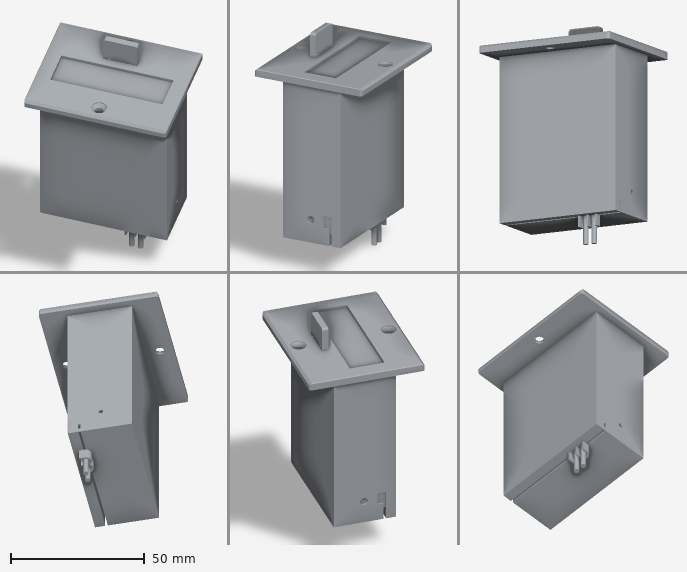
import cadquery as cq

CASE_X = 49.8
CASE_Y = 24.5
CASE_Z = 63.4

PLATE_X = 55.85
PLATE_Y = 45.7
PLATE_Z = 2.95
PLATE_TOP = CASE_Z + PLATE_Z
PLATE_CORNER_RADIUS = 1.0
LONG_EDGE_CHAMFER = 0.95
SHORT_EDGE_CHAMFER = 0.3

MOUNT_HOLE_DIAMETER = 3.4
MOUNT_SINK_DIAMETER = 5.9
MOUNT_RIM_DEPTH = 0.35
MOUNT_HOLE_Y = 17.75
SINK_ANGLE = 90
MOUNT_HOLES_XY = [(0, MOUNT_HOLE_Y), (0, -MOUNT_HOLE_Y)]

WINDOW_X = 44.0
WINDOW_Y = 13.7
WINDOW_CENTRE_Y = -1.9
WINDOW_DEPTH = 1.3

OVERALL_Z = 86.6
WIRE_END_Z = -10.7

KEY_X = 13.3
KEY_Y = 2.4
KEY_CENTRE_Y = 9.4
KEY_TOP = OVERALL_Z + WIRE_END_Z
KEY_BOTTOM = CASE_Z
KEY_CORNER_RADIUS = 1.0
KEY_SLOT_CLEARANCE = 0.1
KEY_HOLE_DIAMETER = 1.2
KEY_HOLE_X = 4.1
KEY_LEFT_HOLE_Z = 67.1
KEY_HOLES_XZ = [(-KEY_HOLE_X, KEY_LEFT_HOLE_Z), (KEY_HOLE_X, PLATE_TOP)]

SIDE_HOLE_DIAMETER = 1.8
SIDE_BORE_DIAMETER = 3.0
SIDE_BORE_DEPTH = 1.0
SIDE_HOLE_Y = 0.35
SIDE_HOLE_Z = 9.1

RECESS_BACK_Y = -4.9
RECESS_FRONT_Y = -8.4
RECESS_TOP = 11.6
RECESS_LEDGE_Z = 6.75
RECESS_DEPTH = 0.6
SLOT_BACK_Y = -7.4
SLOT_STEP_TOP = 4.6
SLOT_STEP_DEPTH = 1.7
SLOT_TOP = 4.0
SILL_HEIGHT = 1.7

WIRE_PITCH = 3.55
CONNECTOR_CENTRE_X = 11.4
WIRE_Y = -7.8
WIRE_DIAMETER = 2.0
SHROUD_RADIUS = 2.25
SHROUD_FRONT_Y = -9.9
SHROUD_HEIGHT = 4.3
GROOVE_RADIUS = 1.5
WIRE_XS = [CONNECTOR_CENTRE_X - WIRE_PITCH / 2, CONNECTOR_CENTRE_X + WIRE_PITCH / 2]


def box_between(x_range, y_range, z_range):
    """Box given by its lower and upper limits along each axis."""
    (x0, x1), (y0, y1), (z0, z1) = x_range, y_range, z_range
    return cq.Workplane("XY").box(x1 - x0, y1 - y0, z1 - z0, centered=False).translate((x0, y0, z0))


def make_plate():
    """Face plate with rounded corners, bevelled edges, mounting holes and window."""
    plate = (
        cq.Workplane("XY", origin=(0, 0, CASE_Z))
        .rect(PLATE_X, PLATE_Y)
        .extrude(PLATE_Z)
        .edges("|Z")
        .fillet(PLATE_CORNER_RADIUS)
    )
    plate = plate.intersect(bevel_envelope("YZ", PLATE_Y, LONG_EDGE_CHAMFER, PLATE_X))
    plate = plate.intersect(bevel_envelope("XZ", PLATE_X, SHORT_EDGE_CHAMFER, PLATE_Y))
    plate = (
        plate.faces(">Z")
        .workplane(origin=(0, 0, PLATE_TOP))
        .pushPoints(MOUNT_HOLES_XY)
        .hole(MOUNT_SINK_DIAMETER, MOUNT_RIM_DEPTH)
        .faces(">Z")
        .workplane(origin=(0, 0, PLATE_TOP), offset=-MOUNT_RIM_DEPTH)
        .pushPoints(MOUNT_HOLES_XY)
        .cskHole(MOUNT_HOLE_DIAMETER, MOUNT_SINK_DIAMETER, SINK_ANGLE)
    )
    window = (
        cq.Workplane("XY", origin=(0, WINDOW_CENTRE_Y, PLATE_TOP))
        .rect(WINDOW_X, WINDOW_Y)
        .extrude(-WINDOW_DEPTH)
    )
    return plate.cut(window)


def bevel_envelope(plane, width, chamfer, length):
    """Prism as wide as the plate whose two top edges are bevelled."""
    half = width / 2
    outline = [
        (-half, CASE_Z),
        (half, CASE_Z),
        (half, PLATE_TOP - chamfer),
        (half - chamfer, PLATE_TOP),
        (chamfer - half, PLATE_TOP),
        (-half, PLATE_TOP - chamfer),
    ]
    return cq.Workplane(plane).polyline(outline).close().extrude(length / 2, both=True)


def make_side_hole():
    """Cutter for the cross hole, with a counterbore in the -X wall."""
    wall = cq.Workplane("YZ", origin=(-CASE_X / 2, SIDE_HOLE_Y, SIDE_HOLE_Z))
    through_hole = wall.circle(SIDE_HOLE_DIAMETER / 2).extrude(CASE_X)
    counterbore = wall.circle(SIDE_BORE_DIAMETER / 2).extrude(SIDE_BORE_DEPTH)
    return through_hole.union(counterbore)


def make_side_recess():
    """Cutter for the L-shaped recess and the cable slot that leads through the case."""
    wall_x = -CASE_X / 2
    slot_y = (RECESS_FRONT_Y, SLOT_BACK_Y)
    recess_x = (wall_x, wall_x + RECESS_DEPTH)
    pocket = box_between(recess_x, (RECESS_FRONT_Y, RECESS_BACK_Y), (RECESS_LEDGE_Z, RECESS_TOP))
    neck = box_between(recess_x, slot_y, (0, RECESS_LEDGE_Z))
    step = box_between((wall_x, wall_x + SLOT_STEP_DEPTH), slot_y, (0, SLOT_STEP_TOP))
    tunnel = box_between((wall_x, -wall_x), slot_y, (0, SLOT_TOP))
    return pocket.union(neck).union(step).union(tunnel).cut(make_sill(slot_y))


def make_sill(slot_y):
    """Low sill at the +X end of the slot, rounded on its underside."""
    end_x = CASE_X / 2
    sill = box_between((end_x - SILL_HEIGHT, end_x), slot_y, (0, SILL_HEIGHT))
    rounding = cq.Workplane("XZ", origin=(end_x, slot_y[1], SILL_HEIGHT)).circle(SILL_HEIGHT)
    return sill.intersect(rounding.extrude(slot_y[1] - slot_y[0]))


def u_prism(x, radius):
    """Vertical prism under the case: half round at the back, straight sides to the front."""
    return (
        cq.Workplane("XY")
        .moveTo(x - radius, SHROUD_FRONT_Y)
        .lineTo(x - radius, WIRE_Y)
        .threePointArc((x, WIRE_Y + radius), (x + radius, WIRE_Y))
        .lineTo(x + radius, SHROUD_FRONT_Y)
        .close()
        .extrude(-SHROUD_HEIGHT)
    )


def make_connector():
    """Two merged shrouds with a wire groove in each."""
    left_x, right_x = WIRE_XS
    connector = u_prism(left_x, SHROUD_RADIUS).union(u_prism(right_x, SHROUD_RADIUS))
    for x in WIRE_XS:
        connector = connector.cut(u_prism(x, GROOVE_RADIUS))
    return connector


def make_key_slot():
    """Cutter for the slot in the face plate, slightly larger than the key all round."""
    return (
        cq.Workplane("XY", origin=(0, KEY_CENTRE_Y, KEY_BOTTOM))
        .rect(KEY_X + 2 * KEY_SLOT_CLEARANCE, KEY_Y + 2 * KEY_SLOT_CLEARANCE)
        .extrude(PLATE_Z)
    )


def make_housing():
    """Case, face plate and connector in one piece, with a slot for the reset key."""
    case = cq.Workplane("XY").rect(CASE_X, CASE_Y).extrude(CASE_Z)
    case = case.cut(make_side_hole()).cut(make_side_recess())
    return case.union(make_plate()).union(make_connector()).cut(make_key_slot())


def make_key():
    """Reset key with two small holes through its thickness."""
    blank = (
        cq.Workplane("XY", origin=(0, KEY_CENTRE_Y, KEY_BOTTOM))
        .rect(KEY_X, KEY_Y)
        .extrude(KEY_TOP - KEY_BOTTOM)
        .edges("|Y and >Z")
        .fillet(KEY_CORNER_RADIUS)
    )
    holes = (
        cq.Workplane("XZ", origin=(0, KEY_CENTRE_Y, 0))
        .pushPoints(KEY_HOLES_XZ)
        .circle(KEY_HOLE_DIAMETER / 2)
        .extrude(KEY_Y, both=True)
    )
    return blank.cut(holes)


def make_wire(x):
    """Straight round wire hanging from the underside of the case."""
    return cq.Workplane("XY", origin=(x, WIRE_Y, 0)).circle(WIRE_DIAMETER / 2).extrude(WIRE_END_Z)


housing = make_housing()
key = make_key()
wires = [make_wire(x) for x in WIRE_XS]

result = cq.Compound.makeCompound([housing.val(), key.val(), *[wire.val() for wire in wires]])